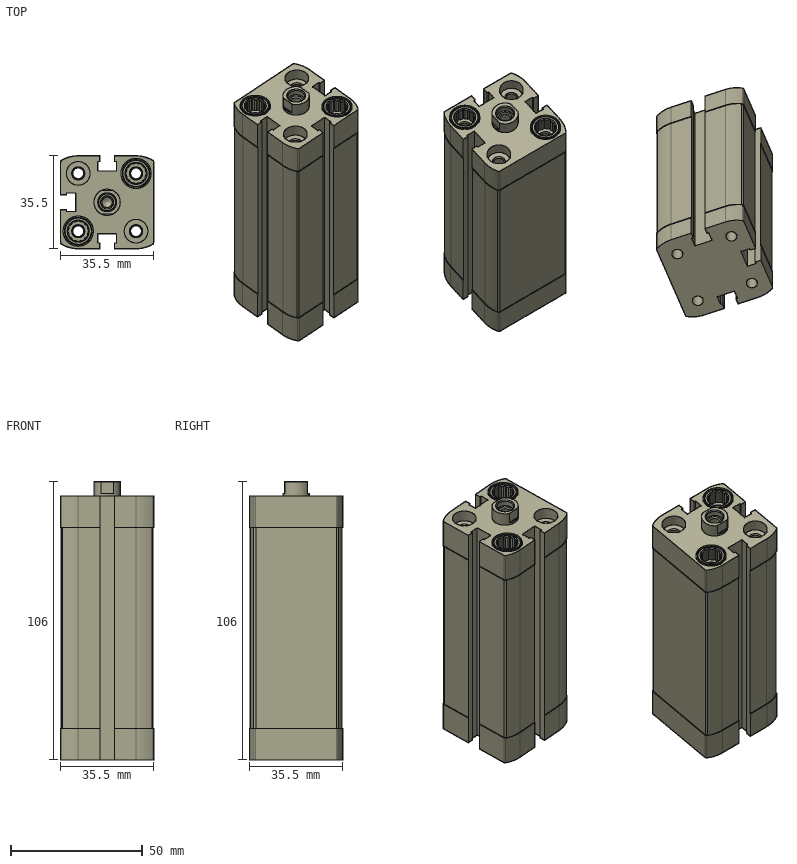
import cadquery as cq
import math

housing_width = 35.5
housing_length = 100.5
cap_length = 12.0
tube_length = housing_length - 2 * cap_length
corner_edges = "|Z and (>X or <X)"
flat_half_width = 11.05

cap_half_width = housing_width / 2
cap_arc_radius = 12.45
cap_edge_radius = 0.7
tube_inset = 0.2
tube_half_width = cap_half_width - tube_inset
tube_arc_radius = 13.5
tube_edge_chamfer = 0.55

slot_mouth_width = 5.6
slot_inner_width = 6.95
slot_lip_depth = 2.3
slot_depth = 5.75
slot_side_angles = (-90, 90, 180)

hole_offset = 11.0
through_diameter = 4.13
through_mouth_diameter = 5.0
counterbore_diameter = 9.0
counterbore_depth = 4.75
plain_corners = [(-hole_offset, hole_offset), (hole_offset, -hole_offset)]
splined_corners = [(-hole_offset, -hole_offset), (hole_offset, hole_offset)]

recess_diameter = 11.5
recess_depth = 1.0
collar_diameter = 10.5
collar_outer_chamfer = 0.25
spline_count = 12
spline_tip_diameter = 7.5
spline_root_diameter = 8.2
spline_mouth_diameter = 8.4
spline_tip_share = 0.45
socket_depth = 6.0

rod_diameter = 10.0
rod_projection = 5.5
rod_depth = cap_length
rod_length = rod_projection + rod_depth
flat_distance = 8.8
flat_length = 4.5
rod_bore_diameter = 6.4
rod_bore_mouth_diameter = 7.2
rod_bore_depth = 2.5
rod_hole_diameter = 3.97
rod_hole_mouth_diameter = 5.0
rod_hole_depth = 12.0
drill_point_angle = 118.0
rod_top = housing_length + rod_projection


def body_block(half_width, arc_radius, bottom, length):
    """Prism with flat sides, whose Y sides curve down to the X sides at the corners."""
    arc_centre_y = half_width - arc_radius

    def corner_arc(x):
        return arc_centre_y + math.sqrt(arc_radius**2 - (x - flat_half_width) ** 2)

    corner_y = corner_arc(half_width)
    middle_x = (flat_half_width + half_width) / 2
    middle_y = corner_arc(middle_x)
    return (
        cq.Workplane("XY", origin=(0, 0, bottom))
        .moveTo(-flat_half_width, half_width)
        .lineTo(flat_half_width, half_width)
        .threePointArc((middle_x, middle_y), (half_width, corner_y))
        .lineTo(half_width, -corner_y)
        .threePointArc((middle_x, -middle_y), (flat_half_width, -half_width))
        .lineTo(-flat_half_width, -half_width)
        .threePointArc((-middle_x, -middle_y), (-half_width, -corner_y))
        .lineTo(-half_width, corner_y)
        .threePointArc((-middle_x, middle_y), (-flat_half_width, half_width))
        .close()
        .extrude(length)
    )


def slot_cutter(side_angle):
    """T-slot running the whole length of the side that faces side_angle."""
    inner_depth = slot_depth - slot_lip_depth
    floor = cap_half_width - slot_depth
    from_floor = (False, True, False)
    start = cq.Workplane("XY", origin=(floor, 0, 0))
    mouth = start.box(slot_depth, slot_mouth_width, housing_length, centered=from_floor)
    inner = start.box(inner_depth, slot_inner_width, housing_length, centered=from_floor)
    return mouth.union(inner).rotate((0, 0, 0), (0, 0, 1), side_angle)


def cone_mouth(position, top, mouth_diameter, hole_diameter):
    """45 degree countersink that opens hole_diameter to mouth_diameter at height top."""
    depth = (mouth_diameter - hole_diameter) / 2
    cone = cq.Solid.makeCone(hole_diameter / 2, mouth_diameter / 2, depth)
    return cq.Workplane(cone).translate((*position, top - depth))


def cylinder(position, diameter, bottom, top):
    return cq.Workplane("XY", origin=(*position, bottom)).circle(diameter / 2).extrude(top - bottom)


def through_hole_cutter(position, seat):
    """Through hole, countersunk where it starts at height seat."""
    hole = cylinder(position, through_diameter, 0, housing_length)
    return hole.union(cone_mouth(position, seat, through_mouth_diameter, through_diameter))


def spline_outline():
    """Corner points of flat-tipped teeth with V grooves between them, tooth by tooth."""
    pitch = 2 * math.pi / spline_count
    half_tip = spline_tip_share * pitch / 2
    tip_radius = spline_tip_diameter / 2
    root_radius = spline_root_diameter / 2
    points = []
    for tooth in range(spline_count):
        tip_angle = (tooth + 0.5) * pitch
        root_angle = tip_angle + pitch / 2
        for radius, angle in (
            (tip_radius, tip_angle - half_tip),
            (tip_radius, tip_angle + half_tip),
            (root_radius, root_angle),
        ):
            points.append((radius * math.cos(angle), radius * math.sin(angle)))
    return points


def splined_socket_cutter(position):
    """Toothed socket in a collar, with the ring-shaped recess around the collar."""
    seat = housing_length - socket_depth
    socket = (
        cq.Workplane("XY", origin=(*position, seat))
        .polyline(spline_outline())
        .close()
        .extrude(socket_depth)
    )
    mouth = cone_mouth(position, housing_length, spline_mouth_diameter, spline_tip_diameter)
    collar = (
        cylinder(position, collar_diameter, housing_length - recess_depth, housing_length)
        .faces(">Z")
        .chamfer(collar_outer_chamfer)
    )
    recess = cylinder(position, recess_diameter, housing_length - recess_depth, housing_length).cut(collar)
    return socket.union(mouth).union(recess).union(through_hole_cutter(position, seat))


def make_housing():
    tube = body_block(tube_half_width, tube_arc_radius, cap_length, tube_length)
    housing = tube.edges(corner_edges).chamfer(tube_edge_chamfer)
    for bottom in (0, housing_length - cap_length):
        cap = body_block(cap_half_width, cap_arc_radius, bottom, cap_length)
        housing = housing.union(cap.edges(corner_edges).fillet(cap_edge_radius))
    for side_angle in slot_side_angles:
        housing = housing.cut(slot_cutter(side_angle))
    for position in plain_corners:
        seat = housing_length - counterbore_depth
        housing = housing.cut(cylinder(position, counterbore_diameter, seat, housing_length))
        housing = housing.cut(through_hole_cutter(position, seat))
    for position in splined_corners:
        housing = housing.cut(splined_socket_cutter(position))
    return housing.cut(cylinder((0, 0), rod_diameter, housing_length - rod_depth, housing_length))


def make_rod():
    axis = (0, 0)
    rod = cylinder(axis, rod_diameter, rod_top - rod_length, rod_top)
    across_flats = (
        cq.Workplane("XY", origin=(0, 0, rod_top - flat_length))
        .rect(2 * rod_diameter, 2 * rod_diameter)
        .rect(2 * rod_diameter, flat_distance)
        .extrude(flat_length)
    )
    rod = rod.cut(across_flats)

    bore_floor = rod_top - rod_bore_depth
    rod = rod.cut(cylinder(axis, rod_bore_diameter, bore_floor, rod_top))
    rod = rod.cut(cone_mouth(axis, rod_top, rod_bore_mouth_diameter, rod_bore_diameter))

    hole_bottom = rod_top - rod_hole_depth
    hole_radius = rod_hole_diameter / 2
    point_depth = hole_radius / math.tan(math.radians(drill_point_angle / 2))
    drill_point = cq.Workplane(cq.Solid.makeCone(0, hole_radius, point_depth))
    rod = rod.cut(cylinder(axis, rod_hole_diameter, hole_bottom, bore_floor))
    rod = rod.cut(cone_mouth(axis, bore_floor, rod_hole_mouth_diameter, rod_hole_diameter))
    return rod.cut(drill_point.translate((0, 0, hole_bottom - point_depth)))


housing = make_housing()
piston_rod = make_rod()
result = cq.Compound.makeCompound([*housing.solids().vals(), *piston_rod.solids().vals()])